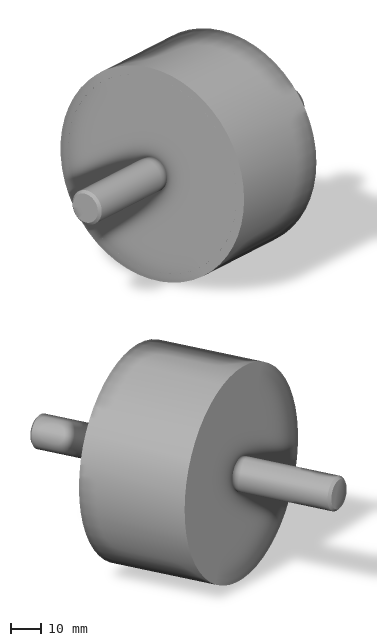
import cadquery as cq

OVERALL_LENGTH = 114.0
RUBBER_DIAMETER = 75.0
RUBBER_LENGTH = 40.0
PLATE_DIAMETER = 69.0
PLATE_THICKNESS = 3.0
STUD_DIAMETER = 12.0
STUD_CHAMFER = 0.9

HALF_RUBBER = RUBBER_LENGTH / 2
STUD_LENGTH = (OVERALL_LENGTH - RUBBER_LENGTH) / 2


def cylinder_along_y(diameter, start_y, length):
    """Cylinder centred on the Y axis, running from start_y toward +Y."""
    plane = cq.Plane(origin=(0, start_y, 0), xDir=(1, 0, 0), normal=(0, 1, 0))
    return cq.Workplane(plane).circle(diameter / 2).extrude(length)


def make_rubber_body():
    """Rubber block with a shallow round recess in each end face for a plate."""
    body = cylinder_along_y(RUBBER_DIAMETER, -HALF_RUBBER, RUBBER_LENGTH)
    for recess_start in (-HALF_RUBBER, HALF_RUBBER - PLATE_THICKNESS):
        body = body.cut(cylinder_along_y(PLATE_DIAMETER, recess_start, PLATE_THICKNESS))
    return body


def make_stud_plate(turn):
    """Flush end plate with its chamfered stud, turned about Z from the +Y end."""
    plate = cylinder_along_y(PLATE_DIAMETER, HALF_RUBBER - PLATE_THICKNESS, PLATE_THICKNESS)
    stud = cylinder_along_y(STUD_DIAMETER, HALF_RUBBER, STUD_LENGTH)
    stud = stud.faces(">Y").chamfer(STUD_CHAMFER)
    return plate.union(stud).rotate((0, 0, 0), (0, 0, 1), turn)


rubber_body = make_rubber_body()
stud_plates = [make_stud_plate(turn) for turn in (0, 180)]

result = cq.Compound.makeCompound(
    [rubber_body.val(), *[stud_plate.val() for stud_plate in stud_plates]]
)